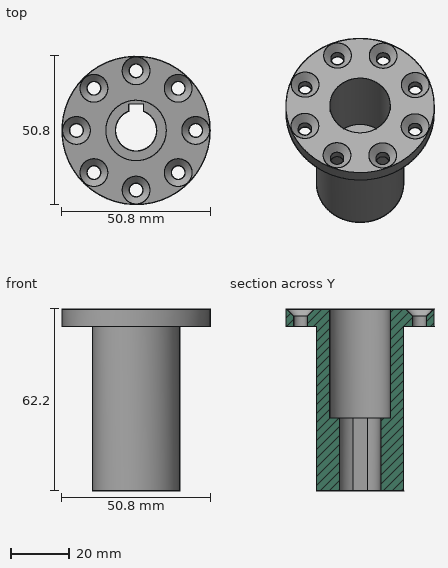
import cadquery as cq

flange_diameter = 50.8
total_height = 62.2
flange_thickness = 6.0
barrel_diameter = 30.0

upper_bore_diameter = 20.7
shaft_bore_diameter = 14.0
shaft_bore_length = 25.0
keyway_width = 5.0
keyway_reach = 9.0

hole_count = 8
hole_circle_diameter = 40.8
hole_diameter = 4.6
countersink_diameter = 9.5
countersink_angle = 90.0


def make_body():
    """Barrel standing on Z = 0 with the flange flush at its top."""
    barrel = cq.Workplane("XY").circle(barrel_diameter / 2).extrude(total_height)
    flange = (
        cq.Workplane("XY")
        .workplane(offset=total_height - flange_thickness)
        .circle(flange_diameter / 2)
        .extrude(flange_thickness)
    )
    return barrel.union(flange)


def make_bore():
    """Through bore with its keyway on the +Y side, opening into the upper bore."""
    shaft_bore = cq.Workplane("XY").circle(shaft_bore_diameter / 2).extrude(shaft_bore_length)
    keyway = (
        cq.Workplane("XY")
        .center(0, keyway_reach / 2)
        .rect(keyway_width, keyway_reach)
        .extrude(shaft_bore_length)
    )
    upper_bore = (
        cq.Workplane("XY")
        .workplane(offset=shaft_bore_length)
        .circle(upper_bore_diameter / 2)
        .extrude(total_height - shaft_bore_length)
    )
    return shaft_bore.union(keyway).union(upper_bore)


def drill_flange(body):
    """Ring of holes through the flange, countersunk from its top face."""
    return (
        body.faces(">Z")
        .workplane(origin=(0, 0, total_height))
        .polarArray(hole_circle_diameter / 2, 0, 360, hole_count)
        .cskHole(hole_diameter, countersink_diameter, countersink_angle, depth=flange_thickness)
    )


result = drill_flange(make_body().cut(make_bore()))